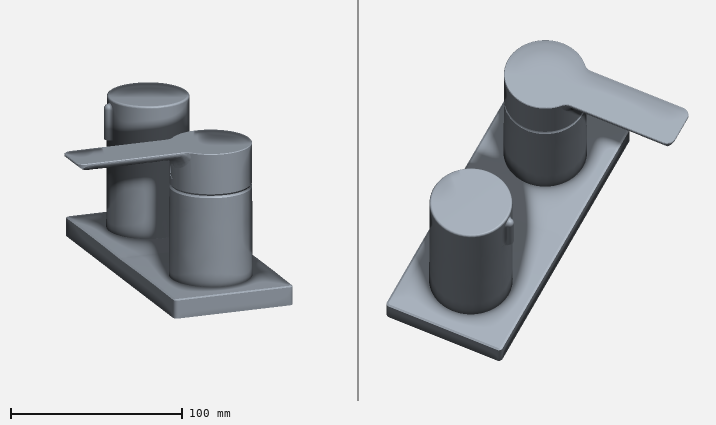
import cadquery as cq
import math

plate_length = 175.0
plate_width = 75.0
plate_height = 12.0
plate_edge_height = 11.65
plate_corner_radius = 2.4
plate_edge_inset = 1.2
plate_edge_drop = 0.6
knob_offset = 50.0
total_height = 93.24

base_radius = 24.5
knob_radius = 24.2

cap_split_height = 69.6
cap_crown = 0.3
cap_edge_radius = 1.2

pointer_bottom = 68.5
pointer_arch_height = 87.0
pointer_crest_half_width = 2.85
pointer_half_width = 5.1
pointer_reach = 27.6
pointer_root_depth = 3.5

groove_bottom = 66.3
groove_top = 68.7
groove_depth = 0.9
lever_edge_chamfer = 0.4

lever_reach = 88.29
lever_width = 27.6
lever_corner_radius = 5.5
lever_rim = 1.2
lever_thickness = 6.6
lever_flat_reach = 74.0
lever_root_fillet = 5.8

indicator_height = 78.0
indicator_radius = 4.6
indicator_recess = 0.2


def make_plate():
    """Two mirrored halves, each with a faintly crowned top, meeting in a shallow valley."""
    half_length = plate_length / 2
    half = (
        cq.Workplane("XZ")
        .lineTo(half_length, 0)
        .lineTo(half_length, plate_edge_height)
        .threePointArc((half_length / 2, plate_height), (0, plate_edge_height))
        .close()
        .extrude(plate_width / 2, both=True)
        .edges("|Z and >X")
        .fillet(plate_corner_radius)
    )
    half = half.faces(">Z").edges("not <X").chamfer(plate_edge_drop, plate_edge_inset)
    return half.union(half.mirror("YZ"))


def make_body(top):
    """Slightly tapered round body, narrowing from the plate to the given height."""
    return (
        cq.Workplane("XZ")
        .moveTo(0, 0)
        .lineTo(base_radius, 0)
        .lineTo(base_radius, plate_height)
        .lineTo(knob_radius, top)
        .lineTo(0, top)
        .close()
        .revolve(360, (0, 0, 0), (0, 1, 0))
    )


def make_knob(bottom):
    knob = cq.Workplane("XY").workplane(offset=bottom).circle(knob_radius)
    return knob.extrude(total_height - bottom)


def pointer_half_profile(plane):
    """Half of a bell outline: round nose flowing through a concave arc into the knob wall."""
    root_y = -math.sqrt(knob_radius**2 - pointer_half_width**2)
    nose_y = -pointer_reach
    turn = 2 * math.atan((root_y - nose_y) / pointer_half_width)
    nose_radius = pointer_crest_half_width / math.sin(turn)
    nose_centre_y = nose_y + nose_radius
    nose_end = (pointer_crest_half_width, nose_centre_y - nose_radius * math.cos(turn))
    nose_mid = (nose_radius * math.sin(turn / 2), nose_centre_y - nose_radius * math.cos(turn / 2))
    buried_y = root_y + pointer_root_depth
    return (
        plane.moveTo(0, buried_y)
        .lineTo(0, nose_y)
        .threePointArc(nose_mid, nose_end)
        .tangentArcPoint((pointer_half_width, root_y), relative=False)
        .lineTo(pointer_half_width, buried_y)
        .close()
    )


def make_pointer():
    """Vertical rib closed at the top by the same bell outline turned about its own axis."""
    lower = cq.Workplane("XY").workplane(offset=pointer_bottom)
    half_rib = pointer_half_profile(lower).extrude(pointer_arch_height - pointer_bottom)
    rib = half_rib.union(half_rib.mirror("YZ"))
    upper = cq.Workplane("XY").workplane(offset=pointer_arch_height)
    arch = pointer_half_profile(upper).revolve(360, (0, 0, 0), (0, 1, 0))
    return rib.union(arch)


def make_temperature_knob():
    """Cap with a faintly domed top standing on its body; the joint stays as a line."""
    crown_mid = (knob_radius / 2, total_height - cap_crown / 4)
    cap = (
        cq.Workplane("XZ")
        .moveTo(0, total_height)
        .lineTo(0, cap_split_height)
        .lineTo(knob_radius, cap_split_height)
        .lineTo(knob_radius, total_height - cap_crown)
        .threePointArc(crown_mid, (0, total_height))
        .close()
        .revolve(360, (0, 0, 0), (0, 1, 0))
    )
    cap = cap.faces(">Z").edges().fillet(cap_edge_radius)
    return make_body(cap_split_height).union(cap, clean=False).union(make_pointer(), clean=False)


def make_lever():
    """Blade with a flat top, a belly curved across its width and a tip that sweeps upwards."""
    half_width = lever_width / 2
    rim_z = total_height - lever_rim
    bottom_z = total_height - lever_thickness
    blade = (
        cq.Workplane("XZ")
        .moveTo(half_width, total_height)
        .lineTo(half_width, rim_z)
        .ellipseArc(half_width, rim_z - bottom_z, 180, 360, startAtCurrent=True, sense=-1)
        .lineTo(-half_width, total_height)
        .close()
        .extrude(lever_reach)
    )
    side = (
        cq.Workplane("YZ")
        .moveTo(0, total_height)
        .lineTo(0, bottom_z)
        .lineTo(-lever_flat_reach, bottom_z)
        .tangentArcPoint((-lever_reach, rim_z), relative=False)
        .lineTo(-lever_reach, total_height)
        .close()
        .extrude(half_width, both=True)
    )
    plan = (
        cq.Workplane("XY")
        .workplane(offset=bottom_z)
        .rect(lever_width, 2 * lever_reach)
        .extrude(lever_thickness)
        .edges("|Z")
        .fillet(lever_corner_radius)
    )
    return blade.intersect(side).intersect(plan)


def make_groove():
    """V-shaped ring between the lever knob and its body."""
    middle = (groove_bottom + groove_top) / 2
    outside = base_radius + groove_depth
    return (
        cq.Workplane("XZ")
        .moveTo(knob_radius - groove_depth, middle)
        .lineTo(knob_radius, groove_top)
        .lineTo(outside, groove_top)
        .lineTo(outside, groove_bottom)
        .lineTo(knob_radius, groove_bottom)
        .close()
        .revolve(360, (0, 0, 0), (0, 1, 0))
    )


def make_indicator_recess():
    """Shallow round recess in the knob wall, its floor following the wall's curve."""
    bore = cq.Workplane("XZ").center(0, indicator_height).circle(indicator_radius).extrude(2 * knob_radius)
    return bore.cut(cq.Workplane("XY").circle(knob_radius - indicator_recess).extrude(total_height))


def make_lever_knob():
    knob = make_knob(groove_top).union(make_lever())
    blade_bottom = total_height - lever_thickness
    neck = cq.selectors.BoxSelector(
        (-lever_width, -knob_radius, blade_bottom),
        (lever_width, -knob_radius / 2, total_height - lever_rim / 4),
    )
    knob = knob.edges(neck).fillet(lever_root_fillet)
    knob = knob.faces(">Z").edges().chamfer(lever_edge_chamfer)
    return make_body(groove_top).union(knob).cut(make_groove()).cut(make_indicator_recess())


temperature_knob = make_temperature_knob().translate((-knob_offset, 0, 0))
lever_knob = make_lever_knob().translate((knob_offset, 0, 0))

result = make_plate().union(temperature_knob).union(lever_knob)